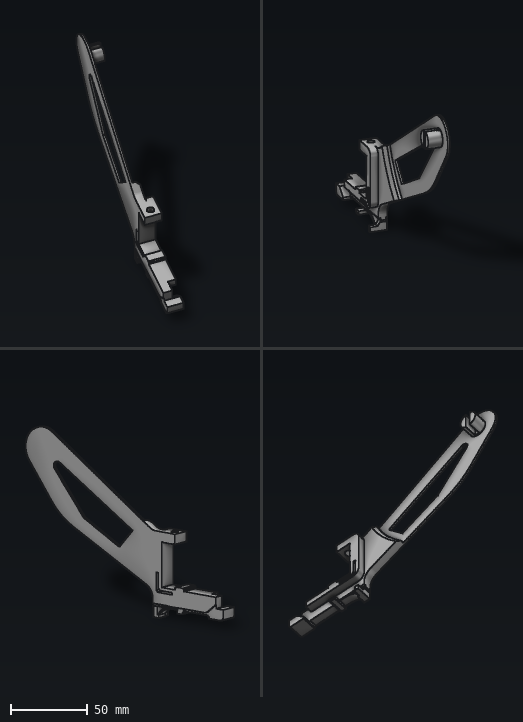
import cadquery as cq
import math


PLATE_DEPTH = 1.7
BODY_DEPTH = 6.4
FULL_DEPTH = 12.0
RECESS = 0.5

ARM_END_RADIUS = 15.0
PIN_X, PIN_Z = ARM_END_RADIUS, 99.1
PIN_RADIUS = 6.4
PIN_SLOT_WIDTH = 3.4
PIN_SLOT_FLOOR = 2.5

ELBOW = (29.5, 56.2)
ELBOW_RADIUS = 50.6
HEEL_RADIUS = 10.1
HEEL_Z = 18.4

SWING_RADIUS = 92.4
SWING_BEVEL_Y = 3.9

WINDOW_END = (27.3, 89.5)
WINDOW_END_RADIUS = 3.2
WINDOW_CORNERS = [(91.4, 55.5), (80.1, 43.0), (49.7, 58.2)]

BEAM_LEFT = 108.8
BEAM_RIGHT = 162.5
BEAM_BOTTOM = 9.1
BEAM_TOP = 20.9
WALL_RIGHT = 116.3
TAB_RIGHT = 127.8
TAB_BOTTOM = 51.3
TAB_TOP = 58.2
TAB_BLEND_RADIUS = 9.3
TAB_HOLE_X, TAB_HOLE_Y = 122.5, 6.0
TAB_HOLE_DIAMETER = 4.7
BEAM_PAD_LEFT, BEAM_PAD_RIGHT = TAB_RIGHT, 135.4
BEAM_PAD_HEIGHT = 2.0
BEAM_PAD_CHAMFER = 0.8
RAMP_BOTTOM = (154.5, BEAM_BOTTOM)
RAMP_TOP = (162.0, 15.3)
RAMP_BLEND_RADIUS = 5.9

FRAME_THICKNESS = 5.2
FRAME_RIGHT = 154.1

SLOT_LEFT, SLOT_RIGHT = 111.8, 125.3
SLOT_BOTTOM, SLOT_TOP = 17.2, 30.4
SLOT_WIDTH = 1.5
SLOT_BEND = 1.3

RAIL_BOTTOM = 7.6
RAIL_LEFT = 129.3
STOP_RIGHT = 134.4
STOP_BOTTOM = 5.0
STOP_CHAMFER = 1.5
TIP_LEFT, TIP_RIGHT = 156.1, 168.6
TIP_BOTTOM, TIP_TOP = 5.5, 13.2
TIP_RADIUS = 2.5
TIP_CHAMFER = 1.0

FOOT_LEFT, FOOT_RIGHT = 109.3, 112.8
FOOT_TOE_RIGHT = 114.0
FOOT_TOE_HEIGHT = 2.2
FOOT_BACK_HEIGHT = 3.5
FOOT_NECK_HEIGHT = 6.0
FOOT_DEPTH = 6.7
FOOT_CORNER_RADIUS = 1.7
FOOT_TOP_DEPTH = 4.2
WEB_RIGHT = 120.2
WEB_FRONT, WEB_BACK = 0.8, 4.7
SPRING_THICKNESS = 1.0
SPRING_START = (112.8, 2.2)
SPRING_MIDDLE = (117.4, 6.5)
SPRING_CREST = (125.8, 8.6)

OVERLAP = 0.8


def sketch_at(y):
    """XZ sketch plane at depth y."""
    return cq.Workplane("XZ", origin=(0, y, 0))


def slab(outline, depth):
    """Extrude a closed XZ outline toward +Y."""
    return outline.close().extrude(-depth)


def box(x_range, y_range, z_range):
    """Axis-aligned block from its limits."""
    ranges = (x_range, y_range, z_range)
    sizes = [high - low for low, high in ranges]
    corner = [low for low, high in ranges]
    return cq.Workplane("XY").box(*sizes, centered=False).translate(tuple(corner))


def tangent_point(center, radius, point, side):
    """Where a line from point touches a circle; side is +1 or -1."""
    dx, dz = point[0] - center[0], point[1] - center[1]
    angle = math.atan2(dz, dx) + side * math.acos(radius / math.hypot(dx, dz))
    return (center[0] + radius * math.cos(angle), center[1] + radius * math.sin(angle))


def circle_end(center, radius, first, last):
    """Arc around a rounded end: touch point from first, far point, touch point from last."""
    start = tangent_point(center, radius, first, 1)
    end = tangent_point(center, radius, last, -1)
    toward_x = (first[0] + last[0]) / 2 - center[0]
    toward_z = (first[1] + last[1]) / 2 - center[1]
    scale = radius / math.hypot(toward_x, toward_z)
    far = (center[0] - toward_x * scale, center[1] - toward_z * scale)
    return start, far, end


def line_and_round(outline, before, corner, after, radius):
    """Draw toward corner and round it with a tangent arc."""
    to_before = cq.Vector(before[0] - corner[0], before[1] - corner[1]).normalized()
    to_after = cq.Vector(after[0] - corner[0], after[1] - corner[1]).normalized()
    half = to_before.getAngle(to_after) / 2
    vertex = cq.Vector(*corner)
    start = vertex + to_before * (radius / math.tan(half))
    end = vertex + to_after * (radius / math.tan(half))
    bisector = (to_before + to_after).normalized()
    middle = vertex + bisector * (radius / math.sin(half) - radius)
    return outline.lineTo(start.x, start.y).threePointArc((middle.x, middle.y), (end.x, end.y))


def make_body():
    """Arm, tab, wall and beam in one outline, thinned to a plate around the pin."""
    heel = (BEAM_LEFT, HEEL_Z)
    beam_corner = (BEAM_LEFT, BEAM_BOTTOM)
    tab_root = (BEAM_LEFT, TAB_TOP)
    tab_corner = (TAB_RIGHT, TAB_TOP)
    start, far, end = circle_end((PIN_X, PIN_Z), ARM_END_RADIUS, tab_root, ELBOW)
    pad_top = BEAM_TOP + BEAM_PAD_HEIGHT
    pad_shoulder = pad_top - BEAM_PAD_CHAMFER

    outline = sketch_at(0).moveTo(*start).threePointArc(far, end)
    outline = line_and_round(outline, end, ELBOW, heel, ELBOW_RADIUS)
    outline = line_and_round(outline, ELBOW, heel, beam_corner, HEEL_RADIUS)
    outline = outline.lineTo(*beam_corner)
    outline = line_and_round(outline, beam_corner, RAMP_BOTTOM, RAMP_TOP, RAMP_BLEND_RADIUS)
    outline = (
        outline.lineTo(*RAMP_TOP)
        .lineTo(BEAM_RIGHT, RAMP_TOP[1])
        .lineTo(BEAM_RIGHT, BEAM_TOP)
        .lineTo(WALL_RIGHT, BEAM_TOP)
        .lineTo(WALL_RIGHT, TAB_BOTTOM)
        .lineTo(TAB_RIGHT, TAB_BOTTOM)
        .lineTo(*tab_corner)
    )
    outline = line_and_round(outline, tab_corner, tab_root, start, TAB_BLEND_RADIUS)
    body = slab(outline, BODY_DEPTH)

    bevel = BODY_DEPTH - SWING_BEVEL_Y
    pin_axis = cq.Workplane("XY", origin=(PIN_X, 0, PIN_Z))
    clearance = (
        pin_axis.moveTo(0, PLATE_DEPTH)
        .lineTo(SWING_RADIUS, PLATE_DEPTH)
        .lineTo(SWING_RADIUS, SWING_BEVEL_Y)
        .lineTo(SWING_RADIUS + bevel, BODY_DEPTH)
        .lineTo(0, BODY_DEPTH)
        .close()
        .revolve(360, (0, 0), (0, 1))
    )
    pad = (
        sketch_at(0)
        .moveTo(BEAM_PAD_LEFT, BEAM_TOP - OVERLAP)
        .lineTo(BEAM_PAD_RIGHT, BEAM_TOP - OVERLAP)
        .lineTo(BEAM_PAD_RIGHT, pad_shoulder)
        .lineTo(BEAM_PAD_RIGHT - BEAM_PAD_CHAMFER, pad_top)
        .lineTo(BEAM_PAD_LEFT + BEAM_PAD_CHAMFER, pad_top)
        .lineTo(BEAM_PAD_LEFT, pad_shoulder)
    )
    return body.cut(clearance).union(slab(pad, FULL_DEPTH))


def make_window():
    """Cutter for the tapering window with its rounded end."""
    start, far, end = circle_end(
        WINDOW_END, WINDOW_END_RADIUS, WINDOW_CORNERS[0], WINDOW_CORNERS[-1]
    )
    outline = sketch_at(0).moveTo(*start).threePointArc(far, end)
    for corner in reversed(WINDOW_CORNERS):
        outline = outline.lineTo(*corner)
    return slab(outline, BODY_DEPTH)


def make_pin():
    """Round pin on the arm end, split by a slot."""
    pin = sketch_at(PLATE_DEPTH - OVERLAP).center(PIN_X, PIN_Z).circle(PIN_RADIUS)
    pin = pin.extrude(-(FULL_DEPTH - PLATE_DEPTH + OVERLAP))
    slot = box(
        (PIN_X - PIN_SLOT_WIDTH / 2, PIN_X + PIN_SLOT_WIDTH / 2),
        (PIN_SLOT_FLOOR, FULL_DEPTH),
        (PIN_Z - PIN_RADIUS, PIN_Z + PIN_RADIUS),
    )
    return pin.cut(slot)


def make_frame():
    """C-shaped frame behind the wall, with its two outer left corners rounded."""
    depth = (BODY_DEPTH - OVERLAP, FULL_DEPTH)
    bottom = BEAM_TOP - FRAME_THICKNESS
    frame = box((BEAM_LEFT, FRAME_RIGHT), depth, (bottom, TAB_TOP))
    frame = frame.edges("|Y and <X").fillet(FRAME_THICKNESS)
    frame = frame.cut(box((WALL_RIGHT, FRAME_RIGHT), depth, (BEAM_TOP, TAB_BOTTOM)))
    return frame.cut(box((TAB_RIGHT, FRAME_RIGHT), depth, (TAB_BOTTOM, TAB_TOP)))


def make_relief_slot():
    """Cutter for the L-shaped slot: chamfered bend and a round closed end."""
    inner_x = SLOT_LEFT + SLOT_WIDTH
    inner_z = SLOT_BOTTOM + SLOT_WIDTH
    round_start = SLOT_RIGHT - SLOT_WIDTH / 2
    outline = (
        sketch_at(0)
        .moveTo(SLOT_LEFT, SLOT_TOP)
        .lineTo(SLOT_LEFT, SLOT_BOTTOM + SLOT_BEND)
        .lineTo(SLOT_LEFT + SLOT_BEND, SLOT_BOTTOM)
        .lineTo(round_start, SLOT_BOTTOM)
        .threePointArc((SLOT_RIGHT, SLOT_BOTTOM + SLOT_WIDTH / 2), (round_start, inner_z))
        .lineTo(inner_x + SLOT_BEND, inner_z)
        .lineTo(inner_x, inner_z + SLOT_BEND)
        .lineTo(inner_x, SLOT_TOP)
    )
    return slab(outline, FULL_DEPTH)


def make_rail_and_tip():
    """Rail under the beam, the stop below it and the tip with its ramp at the back."""
    rail = box(
        (RAIL_LEFT, TIP_LEFT + OVERLAP),
        (RECESS, BODY_DEPTH),
        (RAIL_BOTTOM, BEAM_BOTTOM + OVERLAP),
    )
    stop = (
        sketch_at(RECESS)
        .moveTo(RAIL_LEFT, RAIL_BOTTOM)
        .lineTo(RAIL_LEFT, STOP_BOTTOM)
        .lineTo(STOP_RIGHT - STOP_CHAMFER, STOP_BOTTOM)
        .lineTo(STOP_RIGHT, STOP_BOTTOM + STOP_CHAMFER)
        .lineTo(STOP_RIGHT, RAIL_BOTTOM)
    )
    tip = (
        sketch_at(RECESS)
        .moveTo(TIP_LEFT, RAIL_BOTTOM)
        .lineTo(TIP_LEFT, TIP_BOTTOM)
        .lineTo(TIP_RIGHT, TIP_BOTTOM)
        .lineTo(TIP_RIGHT, TIP_TOP)
        .lineTo(BEAM_RIGHT, TIP_TOP)
    )
    tip = slab(tip, FULL_DEPTH - RECESS)
    tip = tip.edges("|Y and >X and <Z").fillet(TIP_RADIUS)
    ramp_fill = (
        sketch_at(RECESS)
        .moveTo(TIP_LEFT - TIP_CHAMFER, RAIL_BOTTOM)
        .lineTo(TIP_LEFT, RAIL_BOTTOM - TIP_CHAMFER)
        .lineTo(BEAM_RIGHT, RAIL_BOTTOM)
        .lineTo(BEAM_RIGHT, RAMP_TOP[1] + OVERLAP)
        .lineTo(RAMP_TOP[0], RAMP_TOP[1] + OVERLAP)
        .lineTo(RAMP_BOTTOM[0], RAMP_BOTTOM[1] + OVERLAP)
    )
    return (
        rail.union(slab(stop, FULL_DEPTH - RECESS))
        .union(tip)
        .union(slab(ramp_fill, BODY_DEPTH - RECESS))
    )


def make_foot():
    """Foot below the beam end, its web and the leaf spring running to the rail."""
    foot = (
        cq.Workplane("YZ", origin=(FOOT_LEFT, 0, 0))
        .lineTo(FULL_DEPTH, 0)
        .lineTo(FULL_DEPTH, FOOT_BACK_HEIGHT)
        .lineTo(FOOT_DEPTH, FOOT_BACK_HEIGHT)
        .lineTo(FOOT_TOP_DEPTH, RAIL_BOTTOM)
        .lineTo(0, RAIL_BOTTOM)
        .close()
        .extrude(FOOT_RIGHT - FOOT_LEFT)
    )
    foot = foot.edges("|Z and >X and >Y").fillet(FOOT_CORNER_RADIUS)
    toe = box((FOOT_LEFT, FOOT_TOE_RIGHT), (0, FOOT_DEPTH), (0, FOOT_TOE_HEIGHT))
    neck = (
        sketch_at(0)
        .moveTo(FOOT_LEFT, FOOT_NECK_HEIGHT)
        .lineTo(FOOT_LEFT + OVERLAP, RAIL_BOTTOM)
        .lineTo(BEAM_LEFT, RAIL_BOTTOM)
    )
    web = box(
        (BEAM_LEFT, WEB_RIGHT), (WEB_FRONT, WEB_BACK), (RAIL_BOTTOM, BEAM_BOTTOM + OVERLAP)
    )
    spring = (
        sketch_at(RECESS)
        .moveTo(*SPRING_START)
        .threePointArc(SPRING_MIDDLE, SPRING_CREST)
        .lineTo(RAIL_LEFT + OVERLAP, SPRING_CREST[1])
        .lineTo(RAIL_LEFT + OVERLAP, SPRING_CREST[1] - SPRING_THICKNESS)
        .lineTo(SPRING_CREST[0], SPRING_CREST[1] - SPRING_THICKNESS)
        .threePointArc(
            (SPRING_MIDDLE[0] + SPRING_THICKNESS / 2, SPRING_MIDDLE[1] - SPRING_THICKNESS),
            (FOOT_TOE_RIGHT, FOOT_TOE_HEIGHT),
        )
    )
    return (
        foot.union(toe)
        .union(slab(neck, FOOT_TOP_DEPTH))
        .union(web)
        .union(slab(spring, FOOT_DEPTH - RECESS))
    )


tab_hole = (
    cq.Workplane("XY", origin=(TAB_HOLE_X, TAB_HOLE_Y, TAB_BOTTOM))
    .circle(TAB_HOLE_DIAMETER / 2)
    .extrude(TAB_TOP - TAB_BOTTOM)
)

result = (
    make_body()
    .union(make_pin())
    .union(make_frame())
    .union(make_rail_and_tip())
    .union(make_foot())
    .cut(make_window())
    .cut(make_relief_slot())
    .cut(tab_hole)
)